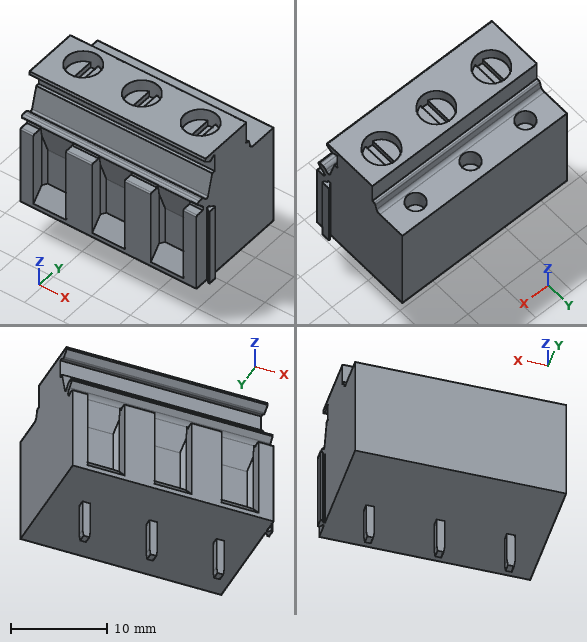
import cadquery as cq


overall_length = 23.45
pole_count = 3
pitch = 7.62
housing_width = pole_count * pitch
pole_centers = [(index + 0.5) * pitch for index in range(pole_count)]

housing_depth = 13.4
housing_height = 16.95
back_ledge_height = 12.9
shoulder_height = 14.12
back_slope_foot_y = 9.43
back_slope_top_y = 9.1
tower_back_y = 8.68
tower_front_y = 3.17
front_slope_top_y = 2.75
front_wall_height = 10.13

lip_top_y = 1.6
lip_tip_y = 1.5
lip_tip_z = 16.6
lip_low_y = 2.4
lip_low_z = 15.98
lip_root_y = 2.8
lip_root_z = 16.3

trough_z = 11.3
trough_back_y = 1.97
trough_front_y = 1.6
latch_top_z = 11.85
latch_crest_y = 1.17
latch_nose_y = 0.2
latch_nose_z = 11.5
undercut_start_y = 0.8
undercut_start_z = 10.95
undercut_mid_y = 1.08
undercut_mid_z = 10.7
undercut_y = 1.22
undercut_z = 10.45
undercut_end_y = 1.1

ledge_fillet = 0.52
shoulder_fillet = 0.2
lip_fillet = 0.28
trough_fillet = 0.2
latch_crest_fillet = 0.6
latch_nose_fillet = 0.28
front_wall_fillet = 0.16

entry_width = 4.22
entry_inner_width = 3.1
entry_depth = 1.71
entry_straight_depth = 1.43
entry_sill_z = 0.59
entry_floor_z = 2.46
entry_roof_z = 7.18

screw_y = 5.82
well_diameter = 4.18
screw_diameter = 3.99
screw_recess = 1.35
screw_length = 1.88
slot_width = 0.99
slot_depth = 0.7

test_hole_y = 11.17
test_hole_diameter = 2.32
test_hole_depth = 2.35

rib_y = 2.0
rib_height = 9.97
rib_neck_width = 0.4
rib_head_width = 1.0
rib_neck_length = 0.15
rib_flare_end = 0.4
rib_length = overall_length - housing_width

pin_y = 5.5
pin_width = 0.9
pin_length = 4.53
pin_tip_width = 0.65
pin_taper_length = 0.8


def make_housing_body():
    """Extrude the cross section along X and round its corners."""
    body = (
        cq.Workplane("YZ")
        .moveTo(0, 0)
        .lineTo(housing_depth, 0)
        .lineTo(housing_depth, back_ledge_height)
        .lineTo(back_slope_foot_y, back_ledge_height)
        .lineTo(back_slope_top_y, shoulder_height)
        .lineTo(tower_back_y, shoulder_height)
        .lineTo(tower_back_y, housing_height)
        .lineTo(lip_top_y, housing_height)
        .lineTo(lip_tip_y, lip_tip_z)
        .lineTo(lip_low_y, lip_low_z)
        .lineTo(lip_root_y, lip_root_z)
        .lineTo(tower_front_y, lip_root_z)
        .lineTo(tower_front_y, shoulder_height)
        .lineTo(front_slope_top_y, shoulder_height)
        .lineTo(trough_back_y, trough_z)
        .lineTo(trough_front_y, trough_z)
        .lineTo(latch_crest_y, latch_top_z)
        .lineTo(latch_nose_y, latch_top_z)
        .lineTo(latch_nose_y, latch_nose_z)
        .lineTo(undercut_start_y, undercut_start_z)
        .threePointArc((undercut_mid_y, undercut_mid_z), (undercut_y, undercut_z))
        .lineTo(undercut_end_y, front_wall_height)
        .lineTo(0, front_wall_height)
        .close()
        .extrude(housing_width)
    )
    rounded_corners = [
        (back_slope_foot_y, back_ledge_height, ledge_fillet),
        (back_slope_top_y, shoulder_height, shoulder_fillet),
        (lip_low_y, lip_low_z, lip_fillet),
        (lip_root_y, lip_root_z, lip_fillet),
        (trough_back_y, trough_z, trough_fillet),
        (trough_front_y, trough_z, trough_fillet),
        (latch_crest_y, latch_top_z, latch_crest_fillet),
        (latch_nose_y, latch_top_z, latch_nose_fillet),
        (0, front_wall_height, front_wall_fillet),
    ]
    for y, z, radius in rounded_corners:
        corner = cq.NearestToPointSelector((housing_width / 2, y, z))
        body = body.edges("|X").edges(corner).fillet(radius)
    return body


def make_wire_entry(center_x):
    """Pocket with a sloped floor and roof whose side walls close in near the back."""
    side_shape = (
        cq.Workplane("YZ", origin=(center_x, 0, 0))
        .moveTo(0, entry_sill_z)
        .lineTo(entry_depth, entry_floor_z)
        .lineTo(entry_depth, entry_roof_z)
        .lineTo(undercut_y, undercut_z)
        .lineTo(0, undercut_z)
        .close()
        .extrude(entry_width / 2, both=True)
    )
    plan_shape = (
        cq.Workplane("XY", origin=(center_x, 0, 0))
        .moveTo(-entry_width / 2, 0)
        .lineTo(entry_width / 2, 0)
        .lineTo(entry_width / 2, entry_straight_depth)
        .lineTo(entry_inner_width / 2, entry_depth)
        .lineTo(-entry_inner_width / 2, entry_depth)
        .lineTo(-entry_width / 2, entry_straight_depth)
        .close()
        .extrude(housing_height)
    )
    return side_shape.intersect(plan_shape)


def make_blind_hole(center_x, center_y, mouth_z, diameter, depth):
    """Cylinder that reaches down from the mouth of a blind hole."""
    return (
        cq.Workplane("XY", origin=(center_x, center_y, mouth_z))
        .circle(diameter / 2)
        .extrude(-depth)
    )


def make_rib():
    """Dovetail rib that stands on the +X end wall."""
    return (
        cq.Workplane("XY", origin=(housing_width, rib_y, 0))
        .moveTo(0, -rib_neck_width / 2)
        .lineTo(rib_neck_length, -rib_neck_width / 2)
        .lineTo(rib_flare_end, -rib_head_width / 2)
        .lineTo(rib_length, -rib_head_width / 2)
        .lineTo(rib_length, rib_head_width / 2)
        .lineTo(rib_flare_end, rib_head_width / 2)
        .lineTo(rib_neck_length, rib_neck_width / 2)
        .lineTo(0, rib_neck_width / 2)
        .close()
        .extrude(rib_height)
    )


def make_housing():
    """Housing with its end rib, wire entries, screw wells and test holes."""
    body = make_housing_body().union(make_rib())
    well_depth = screw_recess + screw_length
    for x in pole_centers:
        body = body.cut(make_wire_entry(x))
        body = body.cut(make_blind_hole(x, screw_y, housing_height, well_diameter, well_depth))
        body = body.cut(
            make_blind_hole(x, test_hole_y, back_ledge_height, test_hole_diameter, test_hole_depth)
        )
    return body


def make_screw(center_x):
    """Slotted screw head that rests on the floor of its well."""
    top = cq.Workplane("XY", origin=(center_x, screw_y, housing_height - screw_recess))
    head = top.circle(screw_diameter / 2).extrude(-screw_length)
    slot = top.rect(slot_width, screw_diameter).extrude(-slot_depth)
    return head.cut(slot)


def make_pin(center_x):
    """Square solder pin under the housing, tapered in width at its tip."""
    taper_start_z = pin_taper_length - pin_length
    return (
        cq.Workplane("XZ", origin=(center_x, pin_y, 0))
        .moveTo(-pin_width / 2, 0)
        .lineTo(pin_width / 2, 0)
        .lineTo(pin_width / 2, taper_start_z)
        .lineTo(pin_tip_width / 2, -pin_length)
        .lineTo(-pin_tip_width / 2, -pin_length)
        .lineTo(-pin_width / 2, taper_start_z)
        .close()
        .extrude(pin_width / 2, both=True)
    )


housing = make_housing()
screws = [make_screw(x) for x in pole_centers]
pins = [make_pin(x) for x in pole_centers]

result = cq.Compound.makeCompound(
    [
        housing.val(),
        *[screw.val() for screw in screws],
        *[pin.val() for pin in pins],
    ]
)